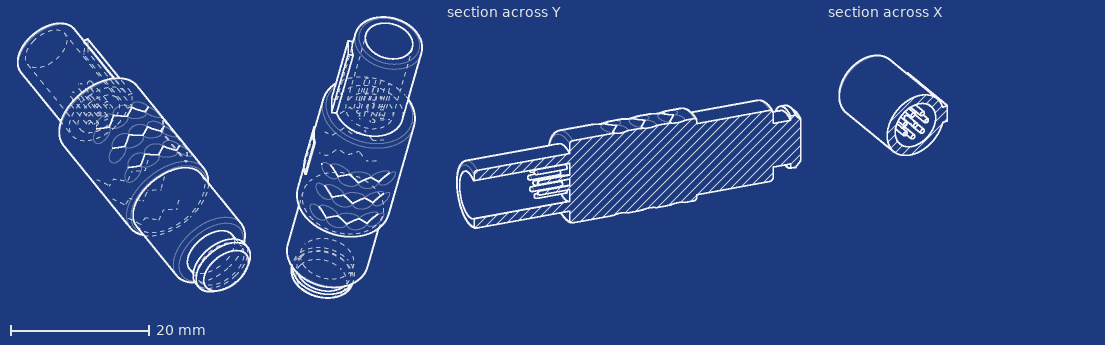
import cadquery as cq
import math

LENGTH = 51.3
COLLAR_START = 15.05
COLLAR_END = 35.0
BODY_END = 47.0
FLANGE_START = 49.65
FLANGE_BEVEL = 0.8

TUBE_RADIUS = 5.0
COLLAR_DIAMETER = 13.7
COLLAR_RADIUS = COLLAR_DIAMETER / 2
BODY_RADIUS = 6.0
NECK_RADIUS = 3.95
FLANGE_RADIUS = 4.55

TUBE_ROUND = 0.5
COLLAR_ROUND = 0.45
BODY_ROUND = 0.6

BORE_RADIUS = 3.5
BORE_DEPTH = COLLAR_START
PIN_RADIUS = 0.35
PIN_LENGTH = 5.0
PIN_CIRCLE_RADIUS = 1.95
OUTER_PIN_COUNT = 7

KEY_START = 2.5
KEY_WIDTH = 2.7
KEY_TOP = 5.55

PAD_START = 21.55
PAD_LENGTH = 6.85
PAD_WIDTH = 3.1
PAD_HEIGHT = 0.15

SCOOP_CUTTER_RADIUS = 4.0
SCOOP_CUTTER_LENGTH = 4.1
SCOOP_HALF_ANGLE = 13.0
SCOOP_BAND_START = 21.95
SCOOP_BAND_PITCH = 4.45
SCOOP_BAND_COUNT = 3
SCOOP_STAGGER = 1.1
SCOOP_SIDE_STEPS = 3


def rod(start, end, radius):
    """Cylinder on the X axis between two stations."""
    return cq.Workplane("YZ", origin=(start, 0, 0)).circle(radius).extrude(end - start)


def turned_body():
    """Stepped sections with rounded outer edges and a bevelled end flange."""
    tube = rod(0, COLLAR_START, TUBE_RADIUS).faces("<X").edges().fillet(TUBE_ROUND)
    collar = rod(COLLAR_START, COLLAR_END, COLLAR_RADIUS).faces("<X or >X").edges().fillet(COLLAR_ROUND)
    body = rod(COLLAR_END, BODY_END, BODY_RADIUS).faces(">X").edges().fillet(BODY_ROUND)
    neck = rod(BODY_END, FLANGE_START, NECK_RADIUS)
    flange = rod(FLANGE_START, LENGTH, FLANGE_RADIUS).faces(">X").edges().chamfer(FLANGE_BEVEL)
    return tube.union(collar).union(body).union(neck).union(flange)


def key():
    """Flat-topped rib running from near the open end up to the collar."""
    length = COLLAR_START - KEY_START
    blank = cq.Workplane("XY", origin=(KEY_START, 0, 0))
    return blank.box(length, KEY_TOP, KEY_WIDTH, centered=(False, False, True))


def pad():
    """Thin pad that follows the curve of the collar."""
    pad_radius = COLLAR_RADIUS + PAD_HEIGHT
    window = cq.Workplane("XY", origin=(PAD_START, 0, 0)).box(
        PAD_LENGTH, pad_radius, PAD_WIDTH, centered=(False, False, True)
    )
    return rod(PAD_START, PAD_START + PAD_LENGTH, pad_radius).intersect(window)


def scoop(x, angle):
    """Cutter lying across the collar at the given angle from +Z about the X axis."""
    floor_radius = COLLAR_RADIUS * math.cos(math.radians(SCOOP_HALF_ANGLE))
    return (
        cq.Workplane("XZ", origin=(x, 0, floor_radius + SCOOP_CUTTER_RADIUS))
        .circle(SCOOP_CUTTER_RADIUS)
        .extrude(SCOOP_CUTTER_LENGTH / 2, both=True)
        .rotate((0, 0, 0), (1, 0, 0), angle)
    )


def cut_grip(part):
    """Bands of two staggered scoop rows on opposite sides of the collar."""
    for band in range(SCOOP_BAND_COUNT):
        x = SCOOP_BAND_START + band * SCOOP_BAND_PITCH
        for side_angle in (0, 180):
            for step in range(-SCOOP_SIDE_STEPS, SCOOP_SIDE_STEPS + 1):
                row_x = x + SCOOP_STAGGER * (step % 2)
                part = part.cut(scoop(row_x, side_angle + step * SCOOP_HALF_ANGLE))
    return part


def pin(y, z):
    """Contact pin with a hemispherical tip, rooted in the socket floor."""
    tip_center = BORE_DEPTH - PIN_LENGTH + PIN_RADIUS
    shaft = rod(tip_center, BORE_DEPTH + PIN_RADIUS, PIN_RADIUS)
    tip = cq.Workplane("XY").sphere(PIN_RADIUS).translate((tip_center, 0, 0))
    return shaft.union(tip).translate((0, y, z))


result = turned_body().union(key()).union(pad())
result = cut_grip(result)
result = result.cut(rod(0, BORE_DEPTH, BORE_RADIUS))
result = result.union(pin(0, 0))
for index in range(OUTER_PIN_COUNT):
    pin_angle = 2 * math.pi * index / OUTER_PIN_COUNT
    pin_y = PIN_CIRCLE_RADIUS * math.cos(pin_angle)
    pin_z = PIN_CIRCLE_RADIUS * math.sin(pin_angle)
    result = result.union(pin(pin_y, pin_z))